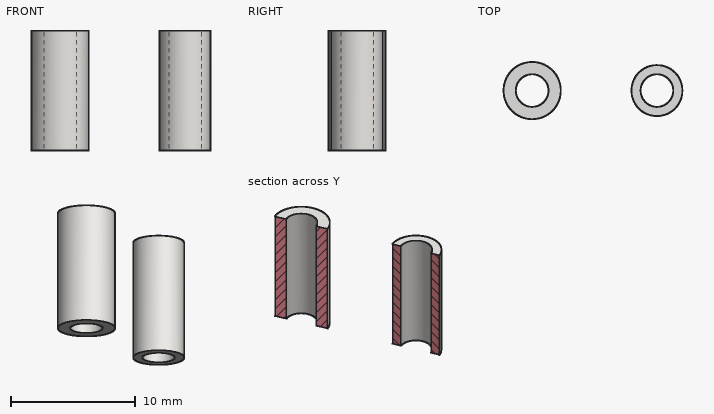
import cadquery as cq

total_length = 14.35
sleeve_height = 9.6
bore_diameter = 2.6
large_diameter = 4.6
small_diameter = 4.1

large_center_x = (large_diameter - total_length) / 2
small_center_x = (total_length - small_diameter) / 2


def make_sleeve(outer_diameter, center_x):
    """Upright plain sleeve with a through bore, standing on Z = 0."""
    return (
        cq.Workplane("XY")
        .center(center_x, 0)
        .circle(outer_diameter / 2)
        .circle(bore_diameter / 2)
        .extrude(sleeve_height)
    )


large_sleeve = make_sleeve(large_diameter, large_center_x)
small_sleeve = make_sleeve(small_diameter, small_center_x)

result = cq.Compound.makeCompound([large_sleeve.val(), small_sleeve.val()])